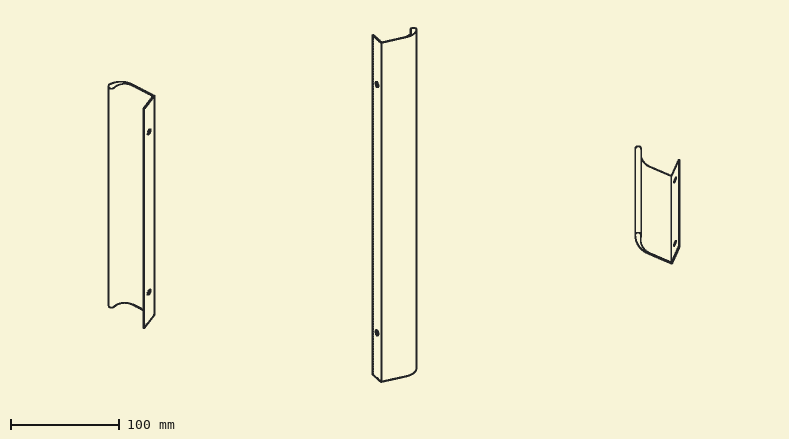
import cadquery as cq
import math

width = 42.0
depth = 18.0
length = 350.0

wall = 1.0

outer_radius = 19.0
inner_tangent_x = 19.0
tip_radius = 2.8
tip_center = (tip_radius, 6.0)

hole_diameter = 5.2
hole_spacing = 256.2
hole_y = depth / 2

web_inner_y = depth - wall

outer_center_y = depth - outer_radius
outer_center_x = tip_center[0] + math.sqrt(
    (outer_radius - tip_radius) ** 2 - (outer_center_y - tip_center[1]) ** 2
)
outer_center = (outer_center_x, outer_center_y)

tangent_dx = inner_tangent_x - tip_center[0]
tangent_dy = web_inner_y - tip_center[1]
inner_radius = (tangent_dx**2 + tangent_dy**2 - tip_radius**2) / (2 * (tangent_dy + tip_radius))
inner_center = (inner_tangent_x, web_inner_y - inner_radius)


def direction(start, end):
    """Angle in radians of the line from start to end."""
    return math.atan2(end[1] - start[1], end[0] - start[0])


def arc_point(center, radius, angle):
    """Point on a circle at an angle in radians."""
    return (center[0] + radius * math.cos(angle), center[1] + radius * math.sin(angle))


def grip_arc(center, radius):
    """Middle and tip end of an arc that starts at the top of its circle."""
    start_angle = math.pi / 2
    end_angle = direction(center, tip_center)
    middle = arc_point(center, radius, (start_angle + end_angle) / 2)
    return middle, arc_point(center, radius, end_angle)


def make_body():
    """Extruded angle with a thickening curved grip on its free edge."""
    outer_middle, outer_end = grip_arc(outer_center, outer_radius)
    inner_middle, inner_end = grip_arc(inner_center, inner_radius)
    tip_bottom = arc_point(tip_center, tip_radius, -math.pi / 2)
    return (
        cq.Workplane("XY")
        .moveTo(width, 0)
        .lineTo(width, depth)
        .lineTo(outer_center[0], depth)
        .threePointArc(outer_middle, outer_end)
        .threePointArc(tip_bottom, inner_end)
        .threePointArc(inner_middle, (inner_tangent_x, web_inner_y))
        .lineTo(width - wall, web_inner_y)
        .lineTo(width - wall, 0)
        .close()
        .extrude(length)
    )


def make_holes():
    """Pair of screw holes, centred along the length of the flange."""
    return (
        cq.Workplane("YZ", origin=(width - 2 * wall, hole_y, length / 2))
        .rarray(3.5, hole_spacing, 1, 2)
        .circle(hole_diameter / 2)
        .extrude(3 * wall)
    )


result = make_body().cut(make_holes())